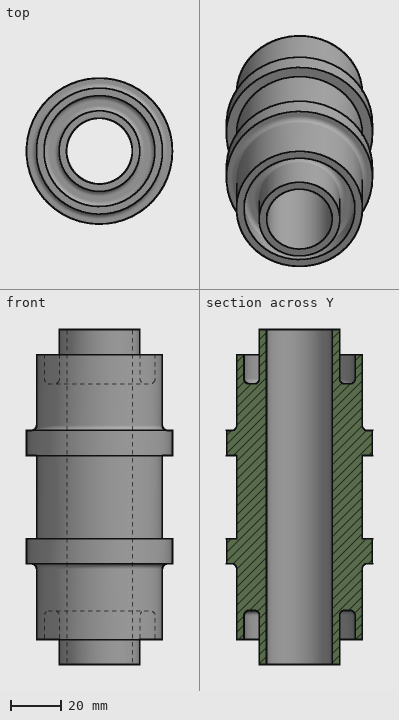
import cadquery as cq
import math

total_length = 133.0
tube_projection = 10.0
socket_length = 30.0
flange_thickness = 10.0
pocket_depth = 11.5

bore_radius = 13.0
tube_radius = 16.0
pocket_radius = 22.0
body_radius = 25.0
flange_radius = 29.0
fillet_radius = 2.0

tube_end_z = total_length / 2
rim_z = tube_end_z - tube_projection
shoulder_z = rim_z - socket_length
flange_inner_z = shoulder_z - flange_thickness
pocket_floor_z = rim_z - pocket_depth


def ring(outer_radius, inner_radius, bottom_z, top_z):
    """Hollow cylinder about the Z axis."""
    return (
        cq.Workplane("XY", origin=(0, 0, bottom_z))
        .circle(outer_radius)
        .circle(inner_radius)
        .extrude(top_z - bottom_z)
    )


def fillet_ring(corner_radius, corner_z, radial_side):
    """Concave fillet between a cylinder and the floor below it.

    radial_side is +1 when the floor lies outside the cylinder, -1 when inside.
    """
    floor_edge_radius = corner_radius + radial_side * fillet_radius
    wall_edge_z = corner_z + fillet_radius
    bend = (1 - math.cos(math.radians(45))) * fillet_radius
    return (
        cq.Workplane("XZ")
        .moveTo(corner_radius, corner_z)
        .lineTo(floor_edge_radius, corner_z)
        .threePointArc(
            (corner_radius + radial_side * bend, corner_z + bend),
            (corner_radius, wall_edge_z),
        )
        .close()
        .revolve(360, (0, 0), (0, 1))
    )


def body():
    """Full-length tube inside the larger sleeve."""
    tube = ring(tube_radius, bore_radius, -tube_end_z, tube_end_z)
    sleeve = ring(body_radius, bore_radius, -rim_z, rim_z)
    return sleeve.union(tube)


def upper_pocket():
    """Annular pocket between tube and socket wall, with rounded floor corners."""
    pocket = ring(pocket_radius, tube_radius, pocket_floor_z, rim_z)
    pocket = pocket.cut(fillet_ring(tube_radius, pocket_floor_z, 1))
    return pocket.cut(fillet_ring(pocket_radius, pocket_floor_z, -1))


def upper_flange():
    """Flange with a fillet from its outer shoulder up to the socket wall."""
    flange = ring(flange_radius, bore_radius, flange_inner_z, shoulder_z)
    return flange.union(fillet_ring(body_radius, shoulder_z, 1))


def both_ends(upper_feature):
    """The feature together with its mirror image at the lower end."""
    return upper_feature.union(upper_feature.mirror("XY"))


result = body().union(both_ends(upper_flange())).cut(both_ends(upper_pocket()))